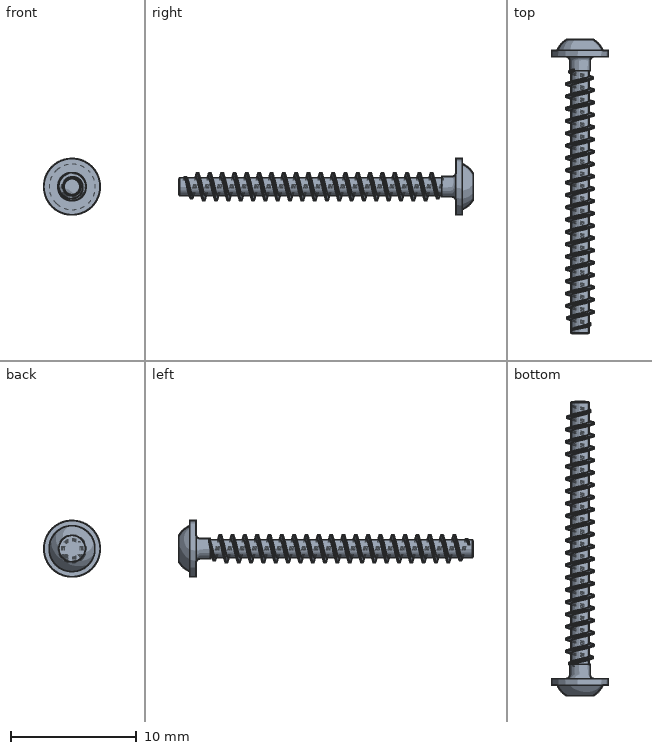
import cadquery as cq
import math

LENGTH = 23.4

FLANGE_RADIUS = 4.5 / 2
FLANGE_THICKNESS = 0.51
DOME_HEIGHT = 0.87
DOME_TOP_RADIUS = 1.05
DOME_BASE_RADIUS = 1.83

SHANK_RADIUS = 0.82
SHANK_LENGTH = 1.12
NECK_FILLET = 0.3
CORE_RADIUS = 0.73
TIP_RADIUS = 0.63
TIP_DOME_HEIGHT = 0.02
TIP_CHAMFER_LENGTH = 0.07

CREST_RADIUS = 1.12
CREST_WIDTH = 0.1
ROOT_RADIUS = 0.63
ROOT_WIDTH = 0.33
FULL_TURNS = 19
FULL_LENGTH = 18.6
FULL_START = 1.5
RUNOUT_TURNS = 1.25
RUNOUT_END_RADIUS = 0.7

pitch = FULL_LENGTH / FULL_TURNS
full_end = FULL_START + FULL_LENGTH
runout_start = FULL_START - RUNOUT_TURNS * pitch
flange_top = LENGTH - DOME_HEIGHT
flange_bottom = flange_top - FLANGE_THICKNESS
shank_bottom = flange_bottom - SHANK_LENGTH


def dome_mid_point():
    """Point halfway along the dome arc, whose sphere is centred on the screw axis."""
    drop = (DOME_BASE_RADIUS**2 + DOME_HEIGHT**2 - DOME_TOP_RADIUS**2) / (2 * DOME_HEIGHT)
    sphere_radius = math.hypot(DOME_TOP_RADIUS, drop)
    top_angle = math.atan2(drop, DOME_TOP_RADIUS)
    base_angle = math.atan2(drop - DOME_HEIGHT, DOME_BASE_RADIUS)
    mid_angle = (top_angle + base_angle) / 2
    sphere_centre = LENGTH - drop
    return (sphere_radius * math.cos(mid_angle), sphere_centre + sphere_radius * math.sin(mid_angle))


def make_body():
    """Head, filleted neck, shank, core and slightly domed, chamfered tip as one turned solid."""
    neck_end = (SHANK_RADIUS + NECK_FILLET, flange_bottom)
    neck_mid_offset = NECK_FILLET * (1 - math.sqrt(0.5))
    neck_mid = (SHANK_RADIUS + neck_mid_offset, flange_bottom - neck_mid_offset)
    tip_mid = (TIP_RADIUS / 2, TIP_DOME_HEIGHT / 4)
    return (
        cq.Workplane("XZ")
        .threePointArc(tip_mid, (TIP_RADIUS, TIP_DOME_HEIGHT))
        .lineTo(CORE_RADIUS, TIP_DOME_HEIGHT + TIP_CHAMFER_LENGTH)
        .lineTo(CORE_RADIUS, shank_bottom)
        .lineTo(SHANK_RADIUS, shank_bottom)
        .lineTo(SHANK_RADIUS, flange_bottom - NECK_FILLET)
        .threePointArc(neck_mid, neck_end)
        .lineTo(FLANGE_RADIUS, flange_bottom)
        .lineTo(FLANGE_RADIUS, flange_top)
        .lineTo(DOME_BASE_RADIUS, flange_top)
        .threePointArc(dome_mid_point(), (DOME_TOP_RADIUS, LENGTH))
        .lineTo(0, LENGTH)
        .close()
        .revolve(360, (0, 0), (0, 1))
    )


def ridge_points(crest_radius, height):
    """Radius and height of the four corners of the ridge section, from lower to upper root."""
    return [
        (ROOT_RADIUS, height - ROOT_WIDTH / 2),
        (crest_radius, height - CREST_WIDTH / 2),
        (crest_radius, height + CREST_WIDTH / 2),
        (ROOT_RADIUS, height + ROOT_WIDTH / 2),
    ]


def make_ridge_faces(start_height, turns, start_crest_radius):
    """Four helical faces of a ridge whose crest goes from start_crest_radius to CREST_RADIUS."""
    length = turns * pitch
    crest_angle = math.atan2(CREST_RADIUS - start_crest_radius, length)
    slant = 1 / math.cos(crest_angle)
    edges = []
    for radius, height in ridge_points(start_crest_radius, start_height):
        if crest_angle > 0 and radius > ROOT_RADIUS:
            helix = cq.Wire.makeHelix(slant * pitch, slant * length, radius, angle=math.degrees(crest_angle))
        else:
            helix = cq.Wire.makeHelix(pitch, length, radius)
        edges.append(helix.translate(cq.Vector(0, 0, height)).Edges()[0])
    return [cq.Face.makeRuledSurface(edges[i - 1], edges[i]) for i in range(len(edges))]


def make_thread():
    """Right-hand ridge with full-depth turns between two runouts that sink into the core."""
    full_faces = make_ridge_faces(FULL_START, FULL_TURNS, CREST_RADIUS)

    runout_faces = make_ridge_faces(runout_start, RUNOUT_TURNS, RUNOUT_END_RADIUS)
    section = cq.Workplane("XZ").polyline(ridge_points(RUNOUT_END_RADIUS, runout_start)).close()
    runout_faces.append(cq.Face.makeFromWires(section.val()))
    axis_start = cq.Vector(0, 0, 0)
    axis_end = cq.Vector(0, 0, 1)
    lower_faces = [face.rotate(axis_start, axis_end, -360 * RUNOUT_TURNS) for face in runout_faces]

    middle_height = (FULL_START + full_end) / 2
    flip_start = cq.Vector(0, 0, middle_height)
    flip_end = cq.Vector(0.23, 0, middle_height)
    upper_faces = [face.rotate(flip_start, flip_end, 180) for face in lower_faces]

    shell = cq.Shell.makeShell(full_faces + lower_faces + upper_faces)
    thread = cq.Workplane(obj=cq.Solid.makeSolid(shell))
    return thread.rotate((0, 0, 0), (0, 0, 1), -90)


screw = make_body().union(make_thread())
result = screw.rotate((0, 0, 0), (1, 0, 0), -90)